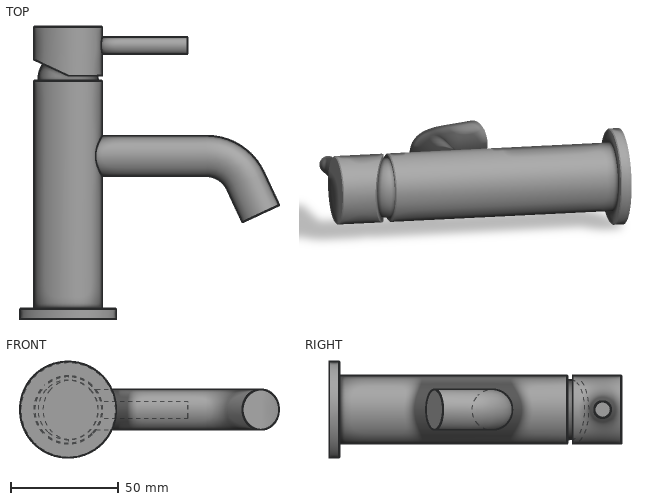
import cadquery as cq
import math


flange_radius = 22.5
flange_thickness = 5.0
flange_edge_break = 0.5

column_radius = 16.0
column_top = 111.25
column_edge_break = 0.5

ball_radius = 14.0

total_height = 136.5
cap_height = 23.0
cap_bottom = total_height - cap_height
cap_edge_break = 0.5
relief_angle = 25.0

lever_radius = 4.0
lever_height = 127.5
lever_reach = 55.8
lever_edge_break = 0.3

spout_radius = 9.5
spout_height = 76.0
spout_straight_end = 64.6
spout_bend_radius = 20.0
spout_bend_angle = 65.0
spout_outlet_length = 17.0
outlet_edge_break = 0.2


def disc_along_y(radius, bottom, top):
    """Cylinder on the column axis between two heights."""
    plane = cq.Workplane("XZ", origin=(0, bottom, 0))
    return plane.circle(radius).extrude(bottom - top)


def make_flange():
    flange = disc_along_y(flange_radius, 0, flange_thickness)
    return flange.faces(">Y").chamfer(flange_edge_break)


def make_column():
    column = disc_along_y(column_radius, 0, column_top)
    return column.faces(">Y").chamfer(column_edge_break)


def make_ball():
    return cq.Workplane("XZ", origin=(0, column_top, 0)).sphere(ball_radius)


def make_cap():
    cap = disc_along_y(column_radius, cap_bottom, total_height)
    cap = cap.faces(">Y").chamfer(cap_edge_break)
    relief_rise = column_radius * math.tan(math.radians(relief_angle))
    relief = (
        cq.Workplane("XY")
        .moveTo(0, cap_bottom)
        .lineTo(-column_radius, cap_bottom + relief_rise)
        .lineTo(-column_radius, cap_bottom)
        .close()
        .extrude(column_radius, both=True)
    )
    return cap.cut(relief)


def make_lever():
    lever = cq.Workplane("YZ").center(lever_height, 0).circle(lever_radius).extrude(lever_reach)
    return lever.faces(">X").chamfer(lever_edge_break)


def make_spout():
    """Round bar that runs out along +X, bends down and ends square to its axis."""
    bend = math.radians(spout_bend_angle)
    bend_end_x = spout_straight_end + spout_bend_radius * math.sin(bend)
    bend_end_y = spout_height - spout_bend_radius * (1 - math.cos(bend))
    outlet_direction = cq.Vector(math.cos(bend), -math.sin(bend), 0)

    straight = cq.Workplane("YZ").center(spout_height, 0).circle(spout_radius).extrude(spout_straight_end)
    elbow = (
        cq.Workplane("YZ", origin=(spout_straight_end, spout_height, 0))
        .circle(spout_radius)
        .revolve(spout_bend_angle, (-spout_bend_radius, 0, 0), (-spout_bend_radius, -1, 0))
    )
    outlet_plane = cq.Plane(origin=(bend_end_x, bend_end_y, 0), xDir=(0, 0, 1), normal=outlet_direction)
    outlet = (
        cq.Workplane(outlet_plane)
        .circle(spout_radius)
        .extrude(spout_outlet_length)
        .faces(cq.selectors.DirectionMinMaxSelector(outlet_direction))
        .chamfer(outlet_edge_break)
    )
    return straight.union(elbow).union(outlet)


result = make_flange()
for piece in (make_column(), make_ball(), make_cap(), make_lever(), make_spout()):
    result = result.union(piece)